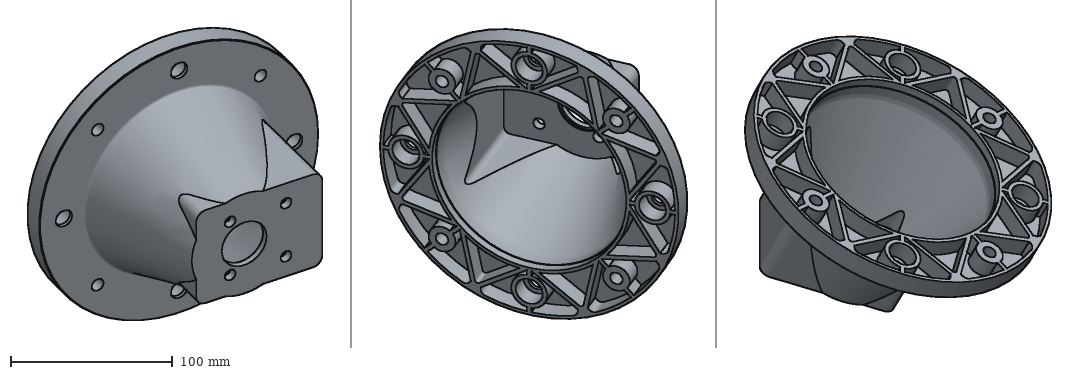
import cadquery as cq
import math

flange_diameter = 200.0
flange_thickness = 15.0
flange_back_chamfer = 0.5

housing_length = 95.0
cone_base_diameter = 134.0
cone_end_diameter = 75.0
cone_root_fillet = 2.0
end_wall = 6.0
spigot_diameter = 130.0
spigot_depth = 6.0
bore_diameter = 129.0
wall_thickness = (cone_base_diameter - bore_diameter) / 2
bore_cone_blend = 10.0

box_y_max = 56.0
box_y_min = -34.5
box_height = 70.0
box_corner_radius = 7.0

shaft_hole_diameter = 32.0
shaft_recess_diameter = 35.0
shaft_recess_depth = 1.5
motor_hole_diameter = 7.5
motor_hole_spacing = 40.0
motor_hole_center_y = 10.0

bolt_circle_radius = 165.0 / 2
large_boss_diameter = 24.0
large_hole_diameter = 11.5
large_counterbore_diameter = 18.0
small_boss_diameter = 18.0
small_hole_diameter = 8.5

pocket_depth = 12.5
rib_width = 3.0
pocket_inner_radius = 67.5
pocket_outer_radius = 97.5
rib_root_radius = 64.5
rib_tip_radius = 96.0
outer_pocket_half_width = 32.5
outer_pocket_corner_radius = 4.0
inner_pocket_corner_radius = 2.0

sector_angle = 45.0
sector_count = 8
half_sector = math.radians(sector_angle / 2)
cone_slope = (cone_base_diameter - cone_end_diameter) / 2 / (housing_length - flange_thickness)


def cylinder(diameter, start, end, y=0.0, z=0.0):
    """Cylinder along X between two X positions."""
    return cq.Workplane("YZ", origin=(start, y, z)).circle(diameter / 2).extrude(end - start)


def box_prism(inset, start, end):
    """Rounded prism of the motor box, shrunk on every side by the inset."""
    center_y = (box_y_max + box_y_min) / 2
    width = box_y_max - box_y_min - 2 * inset
    prism = cq.Workplane("YZ", origin=(start, center_y, 0)).rect(width, box_height - 2 * inset)
    return prism.extrude(end - start).edges("|X").fillet(box_corner_radius - inset)


def bolt_position(sector):
    """Y and Z of a bolt axis, counted from the +Z direction toward +Y."""
    angle = math.radians(sector * sector_angle)
    return bolt_circle_radius * math.sin(angle), bolt_circle_radius * math.cos(angle)


def make_outer_shell():
    """Flange, solid cone and the part of the motor box outside the cone."""
    profile = [
        (0, 0),
        (0, flange_diameter / 2),
        (flange_thickness - flange_back_chamfer, flange_diameter / 2),
        (flange_thickness, flange_diameter / 2 - flange_back_chamfer),
        (flange_thickness, cone_base_diameter / 2),
        (housing_length, cone_end_diameter / 2),
        (housing_length, 0),
    ]
    shell = cq.Workplane("XY").polyline(profile).close().revolve(360, (0, 0, 0), (1, 0, 0))
    cone_root_edge = cq.selectors.RadiusNthSelector(1)
    shell = shell.edges(cone_root_edge).fillet(cone_root_fillet)
    return shell.union(box_prism(0, flange_thickness, housing_length))


def make_cavity():
    """Stepped bore, inner cone and inner motor box up to the end wall."""
    floor_x = housing_length - end_wall
    bore_radius = bore_diameter / 2
    floor_radius = bore_radius - cone_slope * (floor_x - flange_thickness)
    profile = [
        (0, 0),
        (0, bore_radius),
        (flange_thickness, bore_radius),
        (floor_x, floor_radius),
        (floor_x, 0),
    ]
    cavity = cq.Workplane("XY").polyline(profile).close().revolve(360, (0, 0, 0), (1, 0, 0))
    bore_edges = cq.selectors.RadiusNthSelector(-1)
    cavity = cavity.edges(bore_edges).edges(">X").fillet(bore_cone_blend)
    cavity = cavity.union(cylinder(spigot_diameter, 0, spigot_depth))
    return cavity.union(box_prism(wall_thickness, spigot_depth, floor_x))


def make_outer_pocket():
    """Pocket around the bolt axis on +Z, widening outward between two diagonal ribs."""
    tip_y = rib_tip_radius * math.sin(half_sector)
    tip_z = rib_tip_radius * math.cos(half_sector)
    rib_angle = math.atan2(tip_z - rib_root_radius, tip_y)
    apex_z = rib_root_radius + rib_width / 2 / math.cos(rib_angle)
    side_z = apex_z + outer_pocket_half_width * math.tan(rib_angle)
    corner_z = math.sqrt(pocket_outer_radius**2 - outer_pocket_half_width**2)
    pocket = (
        cq.Workplane("YZ")
        .moveTo(0, apex_z)
        .lineTo(outer_pocket_half_width, side_z)
        .lineTo(outer_pocket_half_width, corner_z)
        .threePointArc((0, pocket_outer_radius), (-outer_pocket_half_width, corner_z))
        .lineTo(-outer_pocket_half_width, side_z)
        .close()
        .extrude(pocket_depth)
    )
    for side in (-1, 1):
        corner = (pocket_depth / 2, side * outer_pocket_half_width, corner_z)
        corner_edge = cq.selectors.NearestToPointSelector(corner)
        pocket = pocket.edges(corner_edge).fillet(outer_pocket_corner_radius)
    radial_rib = cq.Workplane("XY").box(2 * pocket_depth, rib_width, flange_diameter)
    return pocket.cut(radial_rib)


def make_inner_pocket():
    """Triangular pocket between two neighbouring diagonal ribs, pointing outward along +Z."""
    root_y = rib_root_radius * math.sin(half_sector)
    root_z = rib_root_radius * math.cos(half_sector)
    half_tip_angle = math.atan2(root_y, rib_tip_radius - root_z)
    apex_z = rib_tip_radius - rib_width / 2 / math.sin(half_tip_angle)
    base_half_width = apex_z * math.tan(half_tip_angle)
    triangle = [(0, apex_z), (base_half_width, 0), (-base_half_width, 0)]
    pocket = cq.Workplane("YZ").polyline(triangle).close().extrude(pocket_depth)
    pocket = pocket.edges("|X").edges(">Z").fillet(inner_pocket_corner_radius)
    return pocket.cut(cylinder(2 * pocket_inner_radius, 0, pocket_depth))


def cut_pockets(body):
    """Blind pockets in the mounting face that leave the bosses and ribs standing."""
    outer_pocket = make_outer_pocket()
    inner_pocket = make_inner_pocket()
    for sector in range(sector_count):
        angle = sector * sector_angle
        boss_diameter = small_boss_diameter if sector % 2 else large_boss_diameter
        boss = cylinder(boss_diameter, 0, pocket_depth, 0, bolt_circle_radius)
        body = body.cut(outer_pocket.cut(boss).rotate((0, 0, 0), (1, 0, 0), -angle))
        body = body.cut(inner_pocket.rotate((0, 0, 0), (1, 0, 0), -angle - sector_angle / 2))
    return body


def cut_flange_holes(body):
    """Counterbored holes in the large bosses and plain holes in the small ones."""
    for sector in range(sector_count):
        y, z = bolt_position(sector)
        if sector % 2:
            body = body.cut(cylinder(small_hole_diameter, 0, flange_thickness, y, z))
        else:
            body = body.cut(cylinder(large_hole_diameter, 0, flange_thickness, y, z))
            body = body.cut(cylinder(large_counterbore_diameter, 0, pocket_depth, y, z))
    return body


def cut_end_wall_openings(body):
    """Recessed shaft hole on the cone axis and four motor mounting holes."""
    floor_x = housing_length - end_wall
    body = body.cut(cylinder(shaft_hole_diameter, floor_x, housing_length))
    body = body.cut(cylinder(shaft_recess_diameter, floor_x, floor_x + shaft_recess_depth))
    for side_y in (-1, 1):
        for side_z in (-1, 1):
            y = motor_hole_center_y + side_y * motor_hole_spacing / 2
            z = side_z * motor_hole_spacing / 2
            body = body.cut(cylinder(motor_hole_diameter, floor_x, housing_length, y, z))
    return body


body = make_outer_shell().cut(make_cavity())
body = cut_pockets(body)
body = cut_flange_holes(body)
result = cut_end_wall_openings(body)